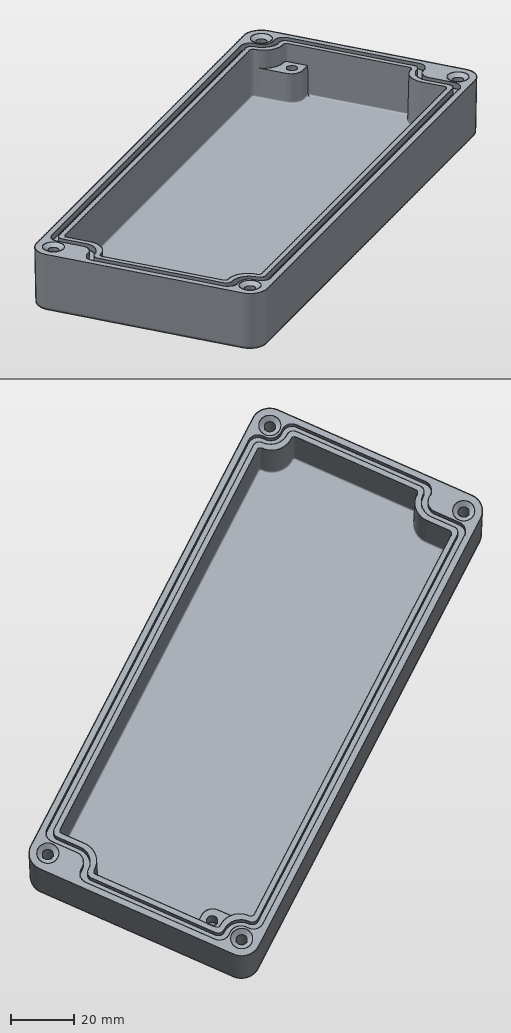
import cadquery as cq
import math

width = 80.0
length = 175.0
height = 20.0
corner_radius = 6.0
outer_draft = 0.8
base_round = 1.0

groove_inset = 2.1
groove_width = 2.1
groove_depth = 2.1
lip_width = 1.8
lip_inset = groove_inset + groove_width
cavity_inset = lip_inset + lip_width

floor_thickness = 3.3
cavity_draft = 1.5
floor_round = 0.5

screw_inset = corner_radius
screw_radius = 1.8
sink_radius = 3.5
sink_depth = 1.0

screw_wall = 4.2
block_y = screw_inset + screw_wall
short_block_x = screw_inset + screw_wall
long_block_x = 17.8

groove_block_radius = 3.7
groove_corner_radius = 3.3
lip_block_radius = groove_block_radius + groove_width
lip_corner_radius = 2.1
cavity_block_radius = 6.6
cavity_corner_radius = 1.2

pillar_reach_x = 22.0
pillar_reach_y = block_y + cavity_inset - groove_inset
pillar_radius = 4.0
pillar_draft = cavity_draft
pillar_top = 13.6
pillar_base = floor_thickness / 2
pillar_hole_x = 18.2
pillar_hole_y = 9.8
pillar_hole_radius = 1.8
pillar_hole_depth = 5.2
drill_tip_angle = 118.0

half_width = width / 2
half_length = length / 2


def toward(start, end, distance):
    """Point at a distance from start along the straight line to end."""
    step = cq.Vector(*end) - cq.Vector(*start)
    point = cq.Vector(*start) + step.normalized() * distance
    return point.x, point.y


def rounded_outline(corners):
    """Closed outline through (x, y, radius) corners, each one rounded by a tangent arc."""
    points = [(x, y) for x, y, _ in corners]
    radii = [radius for _, _, radius in corners]
    outline = cq.Workplane("XY", origin=(0, 0, height)).moveTo(*toward(points[-1], points[0], radii[-1]))
    for i, point in enumerate(points):
        following = points[(i + 1) % len(points)]
        outline = outline.lineTo(*toward(point, points[i - 1], radii[i]))
        outline = outline.tangentArcPoint(toward(point, following, radii[i]), relative=False)
    return outline.close()


def stepped_outline(inset, block_radius, turn_radius):
    """Outline at an inset from the rim, stepping round the four corner blocks."""
    growth = inset - groove_inset
    x = half_width - inset
    y = half_length - inset
    x_short = half_width - short_block_x - growth
    x_long = half_width - long_block_x - growth
    y_block = half_length - block_y - growth
    half_turn = [
        (x, -y_block, turn_radius),
        (x, y_block, turn_radius),
        (x_long, y_block, block_radius),
        (x_long, y, turn_radius),
        (-x_short, y, turn_radius),
        (-x_short, y_block, block_radius),
    ]
    other_half_turn = [(-px, -py, radius) for px, py, radius in half_turn]
    return rounded_outline(half_turn + other_half_turn)


def make_body():
    block = cq.Workplane("XY", origin=(0, 0, height)).rect(width, length).extrude(-height, taper=outer_draft)
    block = block.edges("not(#Z)").fillet(corner_radius)
    return block.faces("<Z").edges().fillet(base_round)


def make_groove():
    outer = stepped_outline(groove_inset, groove_block_radius, groove_corner_radius)
    inner = stepped_outline(lip_inset, lip_block_radius, lip_corner_radius)
    return outer.extrude(-groove_depth).cut(inner.extrude(-groove_depth))


def make_cavity():
    """Drafted cavity with the pillar left standing and the floor edges rounded."""
    outline = stepped_outline(cavity_inset, cavity_block_radius, cavity_corner_radius)
    cavity = outline.extrude(floor_thickness - height, taper=cavity_draft)
    return cavity.cut(make_pillar()).faces("<Z").edges().fillet(floor_round)


def make_screw_holes():
    spacing_x = width - 2 * screw_inset
    spacing_y = length - 2 * screw_inset
    profile = [
        (0, 0),
        (screw_radius, 0),
        (screw_radius, height - sink_depth),
        (sink_radius, height),
        (0, height),
    ]
    hole = cq.Workplane("XZ").polyline(profile).close().revolve(360, (0, 0), (0, 1)).val()
    centres = cq.Workplane("XY").rect(spacing_x, spacing_y, forConstruction=True).vertices()
    return centres.eachpoint(lambda place: hole.moved(place), combine=False)


def make_pillar():
    """Pillar that starts inside the side walls, has one free rounded corner and widens downwards."""
    left = -half_width + lip_inset
    back = half_length - lip_inset
    right = -half_width + pillar_reach_x
    front = half_length - pillar_reach_y
    outline = cq.Workplane("XY", origin=(0, 0, pillar_top)).moveTo(left, back).lineTo(left, front)
    outline = outline.lineTo(right - pillar_radius, front)
    outline = outline.tangentArcPoint((right, front + pillar_radius), relative=False)
    return outline.lineTo(right, back).close().extrude(pillar_base - pillar_top, taper=-pillar_draft)


def make_pillar_hole():
    """Blind drilled hole with a conical end."""
    tip_depth = pillar_hole_radius / math.tan(math.radians(drill_tip_angle / 2))
    shoulder = pillar_top - pillar_hole_depth
    profile = [
        (0, pillar_top),
        (pillar_hole_radius, pillar_top),
        (pillar_hole_radius, shoulder),
        (0, shoulder - tip_depth),
    ]
    hole = cq.Workplane("XZ").polyline(profile).close().revolve(360, (0, 0), (0, 1))
    return hole.translate((-half_width + pillar_hole_x, half_length - pillar_hole_y, 0))


result = (
    make_body()
    .cut(make_cavity())
    .cut(make_groove())
    .cut(make_screw_holes())
    .cut(make_pillar_hole())
)